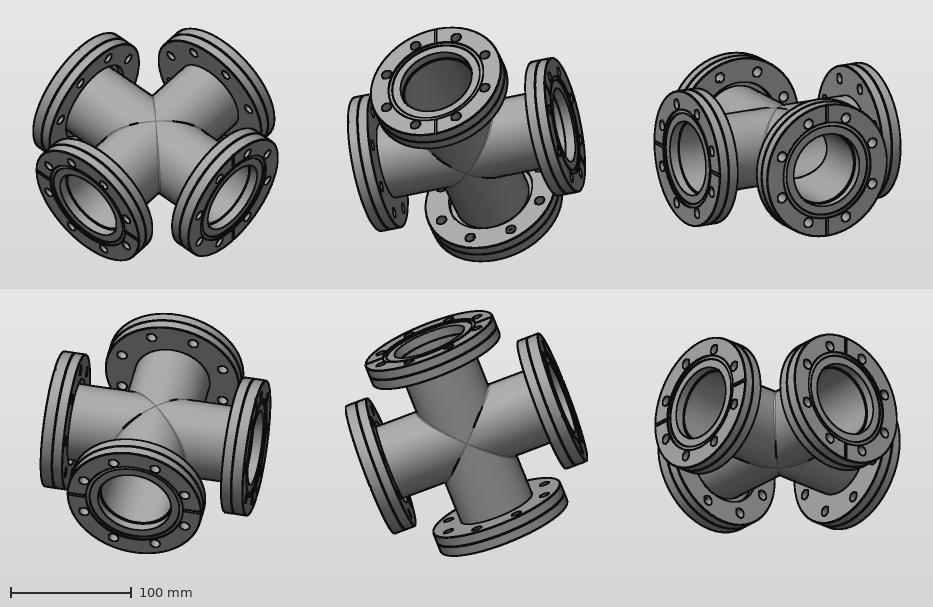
import cadquery as cq
overall_length = 171.5
half_length = overall_length / 2
tube_diameter = 63.5
tube_bore = 60.2
miter_fillet = 1.0

flange_diameter = 113.5
flange_bore = 62.0
recess_diameter = 82.5
knife_diameter = 76.5
knife_root_diameter = 75.8
knife_depth = 0.5
recess_floor_diameter = 81.3
recess_depth = 1.2
seat_depth = 1.0
tube_end_depth = 9.3
rim_chamfer = 0.5
rim_groove_depth = 0.2
rim_groove_width = 0.9
rim_back_land = 8.4

bolt_count = 8
bolt_diameter = 8.4
bolt_circle = 92.2
half_turn = 180
full_turn = 360
quarter_turn = 90

leak_groove_radius = 1.0

fixed_thickness = 17.5

rotatable_thickness = 18.7
ring_back_bore = 72.4
ring_lip = 5.1
hub_thickness = rotatable_thickness - ring_lip


def revolve_port(profile):
    """Spin a (radius, depth) outline about the port axis; depth runs from the face at depth 0 along +X."""
    points = [(depth, radius) for radius, depth in profile]
    return cq.Workplane("XY").polyline(points).close().revolve(full_turn, (0, 0, 0), (1, 0, 0))


def rim_outline(thickness):
    """Outer rim from the front face to the back: two chamfered edges and a shallow groove between them."""
    radius = flange_diameter / 2
    groove_radius = radius - rim_groove_depth
    groove_end = thickness - rim_back_land
    groove_start = groove_end - rim_groove_width
    return [
        (radius - rim_chamfer, 0),
        (radius, rim_chamfer),
        (radius, groove_start),
        (groove_radius, groove_start),
        (groove_radius, groove_end),
        (radius, groove_end),
        (radius, thickness - rim_chamfer),
        (radius - rim_chamfer, thickness),
    ]


def sealing_outline():
    """Tube socket and knife-edge seal, from the tube end out to the wall of the gasket recess."""
    return [
        (tube_diameter / 2, tube_end_depth),
        (flange_bore / 2, tube_end_depth),
        (flange_bore / 2, seat_depth),
        (knife_root_diameter / 2, seat_depth),
        (knife_diameter / 2, knife_depth),
        (recess_floor_diameter / 2, recess_depth),
        (recess_diameter / 2, recess_depth),
    ]


def bolt_holes(thickness):
    """Ring of bolt holes, turned half a pitch so that none lies on an axis."""
    holes = cq.Workplane("YZ").polarArray(bolt_circle / 2, half_turn / bolt_count, full_turn, bolt_count)
    return holes.circle(bolt_diameter / 2).extrude(thickness)


def leak_groove(direction):
    """Half-round groove along "Y" or "Z" across the face, broken by the gasket recess."""
    plane = "XZ" if direction == "Y" else "XY"
    groove = cq.Workplane(plane).circle(leak_groove_radius).extrude(flange_diameter / 2, both=True)
    recess = cq.Workplane("YZ").circle(recess_diameter / 2).extrude(leak_groove_radius, both=True)
    return groove.cut(recess)


def cross():
    """Two crossing tubes, filleted where they meet, each ending inside its flange sockets."""
    tube_reach = half_length - tube_end_depth
    run_x = cq.Workplane("YZ").circle(tube_diameter / 2).extrude(tube_reach, both=True)
    run_y = cq.Workplane("XZ").circle(tube_diameter / 2).extrude(tube_reach, both=True)
    bore_x = cq.Workplane("YZ").circle(tube_bore / 2).extrude(half_length, both=True)
    bore_y = cq.Workplane("XZ").circle(tube_bore / 2).extrude(half_length, both=True)
    outside = run_x.union(run_y)
    outside = outside.edges("%ELLIPSE").fillet(miter_fillet)
    return outside.cut(bore_x).cut(bore_y)


def fixed_flange():
    """One-piece flange with the seal, the bolt holes and the leak-check groove."""
    outline = sealing_outline()
    outline += [(recess_diameter / 2, 0)]
    outline += rim_outline(fixed_thickness)
    outline += [(tube_diameter / 2, fixed_thickness)]
    flange = revolve_port(outline).cut(bolt_holes(fixed_thickness))
    return flange.cut(leak_groove("Y"))


def rotatable_hub():
    """Disc on the tube end that carries the seal and sits inside the loose ring."""
    outline = sealing_outline()
    outline += [
        (recess_diameter / 2, hub_thickness),
        (tube_diameter / 2, hub_thickness),
    ]
    return revolve_port(outline)


def rotatable_ring():
    """Loose bolt ring whose narrower back bore forms a lip behind the hub."""
    outline = rim_outline(rotatable_thickness)
    outline += [
        (ring_back_bore / 2, rotatable_thickness),
        (ring_back_bore / 2, hub_thickness),
        (recess_diameter / 2, hub_thickness),
        (recess_diameter / 2, 0),
    ]
    ring = revolve_port(outline).cut(bolt_holes(rotatable_thickness))
    return ring.cut(leak_groove("Z"))


def at_port(body, angle):
    """Move a port body out to its tube end, turned about Z; angle 0 faces -X."""
    return body.translate((-half_length, 0, 0)).rotate((0, 0, 0), (0, 0, 1), angle)


bodies = [cross().val()]
for angle in (0, half_turn):
    bodies.append(at_port(rotatable_hub(), angle).val())
    bodies.append(at_port(rotatable_ring(), angle).val())
    bodies.append(at_port(fixed_flange(), angle + quarter_turn).val())

result = cq.Compound.makeCompound(bodies)